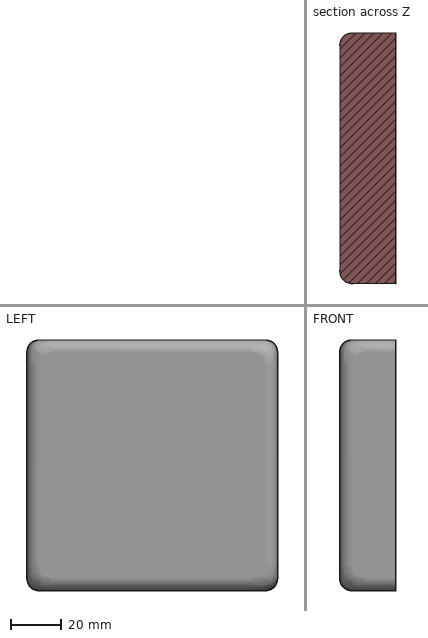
import cadquery as cq
import math

side = 100.0
depth = 22.5
edge_radius = 5.0
setback = 2 * edge_radius
apex_depth = 2.7

fillet_middle = edge_radius * (1 - math.sqrt(0.5))
flat_middle = edge_radius + fillet_middle

quarter_near = edge_radius * (1 - math.cos(math.pi / 8))
quarter_far = edge_radius * (1 - math.sin(math.pi / 8))


def about_edge(axis, x, y, z, mirrored=False):
    """Vector given for the corner edge along X, moved to the edge along axis 0, 1 or 2.

    Mirroring swaps the two faces that share the edge.
    """
    values = (x, z, y) if mirrored else (x, y, z)
    return cq.Vector(*(values[(i - axis) % 3] for i in range(3)))


def blend_patch(axis, mirrored):
    """Four-sided patch on one side of a corner edge, from its fillet to the apex."""

    def place(x, y, z):
        return about_edge(axis, x, y, z, mirrored)

    apex = cq.Vector(apex_depth, apex_depth, apex_depth)
    fillet_point = place(setback, fillet_middle, fillet_middle)
    shared_point = place(setback, 0, edge_radius)
    flat_point = place(flat_middle, 0, flat_middle)

    fillet_to_apex = cq.Edge.makeSpline(
        [fillet_point, apex],
        tangents=[place(-1, 0, 0), place(-2, 1, 1).normalized()],
    )
    apex_to_flat = cq.Edge.makeSpline(
        [apex, flat_point],
        tangents=[place(1, -2, 1).normalized(), place(1, 0, 1).normalized()],
    )
    flat_arc = cq.Edge.makeThreePointArc(
        flat_point,
        place(edge_radius + quarter_far, 0, edge_radius + quarter_near),
        shared_point,
    )
    fillet_arc = cq.Edge.makeThreePointArc(
        shared_point,
        place(setback, quarter_near, quarter_far),
        fillet_point,
    )
    return cq.Face.makeNSidedSurface([fillet_to_apex, apex_to_flat, flat_arc, fillet_arc], [])


def planar_face(arc_points, corners):
    """Plane face bounded by an arc and by straight lines through corners back to its start."""
    start, middle, end = arc_points
    path = [end] + corners + [start]
    edges = [cq.Edge.makeThreePointArc(start, middle, end)]
    edges += [cq.Edge.makeLine(a, b) for a, b in zip(path, path[1:])]
    return cq.Face.makeFromWires(cq.Wire.assembleEdges(edges))


def outer_flat(axis):
    """Part of an outer face left beside the blend."""
    arc_points = [
        about_edge(axis, 0, edge_radius, setback),
        about_edge(axis, 0, flat_middle, flat_middle),
        about_edge(axis, 0, setback, edge_radius),
    ]
    return planar_face(arc_points, [about_edge(axis, 0, setback, setback)])


def inner_section(axis):
    """Section through the plate where the block meets an edge fillet."""
    arc_points = [
        about_edge(axis, setback, 0, edge_radius),
        about_edge(axis, setback, fillet_middle, fillet_middle),
        about_edge(axis, setback, edge_radius, 0),
    ]
    corners = [
        about_edge(axis, setback, setback, 0),
        about_edge(axis, setback, setback, setback),
        about_edge(axis, setback, 0, setback),
    ]
    return planar_face(arc_points, corners)


def corner_block():
    """Cube with the blend in place of its tip; the sharp tip would be at the origin."""
    faces = []
    for axis in range(3):
        faces.append(blend_patch(axis, mirrored=False))
        faces.append(blend_patch(axis, mirrored=True))
        faces.append(outer_flat(axis))
        faces.append(inner_section(axis))
    return cq.Workplane(cq.Solid.makeSolid(cq.Shell.makeShell(faces)).fix())


def at_four_corners(piece):
    """Copies of a corner piece at the four -X corners of the plate."""
    first = piece.translate((-depth / 2, -side / 2, -side / 2))
    pair = [first, first.mirror("XZ")]
    return pair + [copy.mirror("XY") for copy in pair]


plate = cq.Workplane("XY").box(depth, side, side).edges("|X or <X").fillet(edge_radius)

corner_space = cq.Workplane("XY").box(setback, setback, setback, centered=False)
for space in at_four_corners(corner_space):
    plate = plate.cut(space)
for block in at_four_corners(corner_block()):
    plate = plate.union(block)

result = cq.Workplane(plate.clean().solids().val())